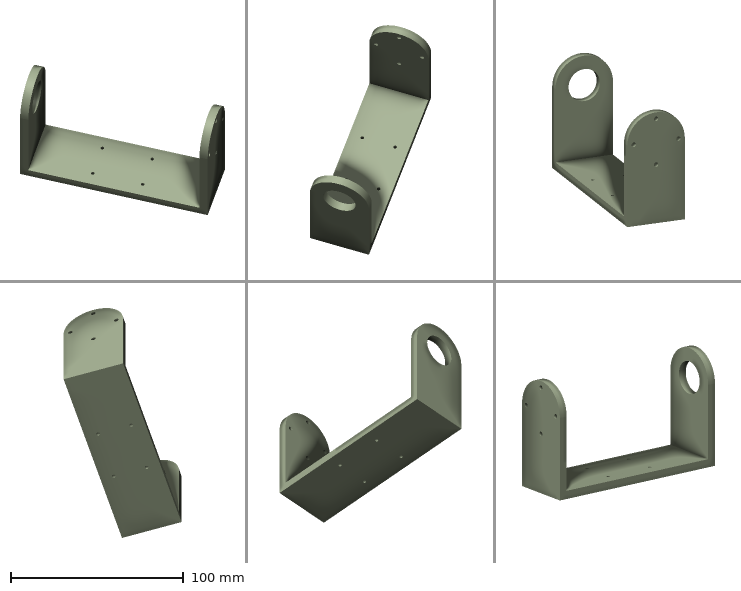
import cadquery as cq

length = 113.0
width = 36.0
thickness = 5.0
axis_height = 50.0
end_radius = width / 2

bearing_diameter = 19.7
base_hole_diameter = 2.0
motor_hole_diameter = 2.7
base_holes_per_side = 2
base_spacing_x = 30.1
base_spacing_y = 20.0
motor_circle_diameter = 28.0
motor_hole_count = 4


def upright(x_start):
    """Round-topped wall, extending one thickness in +X from x_start."""
    return (
        cq.Workplane("YZ", origin=(x_start, 0, 0))
        .moveTo(-end_radius, 0)
        .lineTo(end_radius, 0)
        .lineTo(end_radius, axis_height)
        .threePointArc((0, axis_height + end_radius), (-end_radius, axis_height))
        .close()
        .extrude(thickness)
    )


left_wall_x = -length / 2
right_wall_x = length / 2 - thickness

base = cq.Workplane("XY").box(length, width, thickness, centered=(True, True, False))

base_holes = (
    cq.Workplane("XY")
    .rarray(base_spacing_x, base_spacing_y, base_holes_per_side, base_holes_per_side)
    .circle(base_hole_diameter / 2)
    .extrude(thickness)
)

bearing_hole = (
    cq.Workplane("YZ", origin=(left_wall_x, 0, axis_height))
    .circle(bearing_diameter / 2)
    .extrude(thickness)
)

motor_holes = (
    cq.Workplane("YZ", origin=(right_wall_x, 0, axis_height))
    .polarArray(motor_circle_diameter / 2, 0, 360, motor_hole_count)
    .circle(motor_hole_diameter / 2)
    .extrude(thickness)
)

result = (
    base.union(upright(left_wall_x))
    .union(upright(right_wall_x))
    .cut(base_holes)
    .cut(bearing_hole)
    .cut(motor_holes)
)